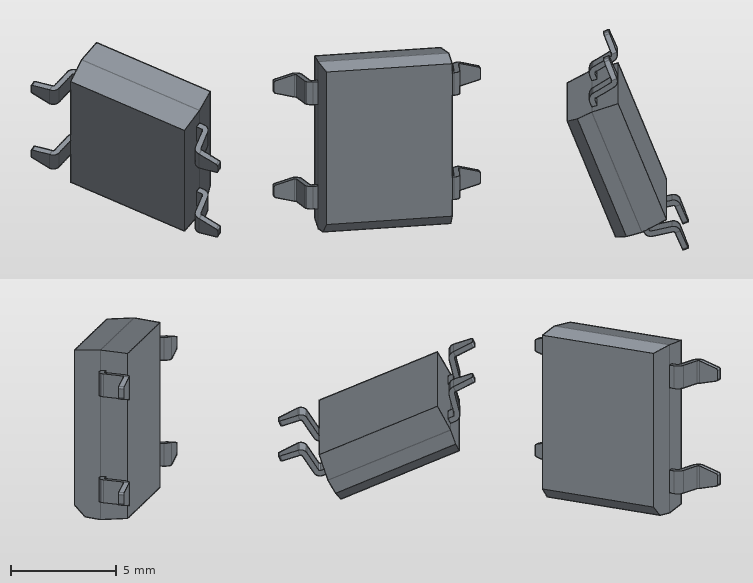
import cadquery as cq
import math


span = 10.05
housing_width = 6.35
housing_height = 8.32
half_depth = 1.31
standoff = 0.32
draft_angle = 5.0
corner_bevel = 0.49

lead_width = 1.13
lead_pitch = 5.2
lead_thickness = 0.27
inner_bend = 0.08
outer_bend = inner_bend + lead_thickness
leg_angle = 9.5
foot_length = 1.0
foot_taper = 15.0
tip_radius = 0.11

foot_bottom = -(half_depth + standoff)
tip_x = -span / 2
foot_bend_x = tip_x + foot_length


def make_housing():
    """Two drafted halves that meet on the parting plane, with one bevelled edge."""
    section = cq.Workplane("XZ").rect(housing_width, housing_height)
    front_half = section.extrude(half_depth, taper=draft_angle)
    back_half = front_half.mirror("XZ")
    body = front_half.union(back_half)

    draft_inset = half_depth * math.tan(math.radians(draft_angle))
    edge_z = -housing_height / 2 + draft_inset
    bevel = (
        cq.Workplane("YZ")
        .moveTo(half_depth, edge_z + corner_bevel)
        .lineTo(half_depth, edge_z - corner_bevel)
        .lineTo(half_depth - 2 * corner_bevel, edge_z - corner_bevel)
        .close()
        .extrude(housing_width / 2, both=True)
    )
    return body.cut(bevel)


def polar(centre, radius, degrees):
    """Point at a given radius and direction from a centre."""
    angle = math.radians(degrees)
    return (centre[0] + radius * math.cos(angle), centre[1] + radius * math.sin(angle))


def make_lead_strip():
    """Bent strip of a left-hand lead, of full width, centred on Z = 0."""
    lean = math.radians(leg_angle)
    foot_centre = (foot_bend_x, foot_bottom + outer_bend)
    bend_sum = inner_bend + outer_bend
    shoulder_y = -outer_bend
    leg_length = (shoulder_y - foot_centre[1] + bend_sum * math.sin(lean)) / math.cos(lean)
    shoulder_x = foot_bend_x + bend_sum * math.cos(lean) + leg_length * math.sin(lean)
    shoulder_centre = (shoulder_x, shoulder_y)

    shoulder_end = 180 - leg_angle
    shoulder_mid = (90 + shoulder_end) / 2
    foot_end = -leg_angle
    foot_mid = (-90 + foot_end) / 2
    root_x = -housing_width / 2 + lead_thickness

    return (
        cq.Workplane("XY")
        .moveTo(root_x, 0)
        .lineTo(*polar(shoulder_centre, outer_bend, 90))
        .threePointArc(
            polar(shoulder_centre, outer_bend, shoulder_mid),
            polar(shoulder_centre, outer_bend, shoulder_end),
        )
        .lineTo(*polar(foot_centre, inner_bend, foot_end))
        .threePointArc(
            polar(foot_centre, inner_bend, foot_mid),
            polar(foot_centre, inner_bend, -90),
        )
        .lineTo(tip_x, foot_bottom + lead_thickness)
        .lineTo(tip_x, foot_bottom)
        .lineTo(foot_bend_x, foot_bottom)
        .threePointArc(
            polar(foot_centre, outer_bend, foot_mid),
            polar(foot_centre, outer_bend, foot_end),
        )
        .lineTo(*polar(shoulder_centre, inner_bend, shoulder_end))
        .threePointArc(
            polar(shoulder_centre, inner_bend, shoulder_mid),
            polar(shoulder_centre, inner_bend, 90),
        )
        .lineTo(root_x, -lead_thickness)
        .close()
        .extrude(lead_width / 2, both=True)
    )


def make_lead_outline():
    """Prism along Y with the tapered, round-cornered outline of a left-hand lead."""
    half_width = lead_width / 2
    half_tip = half_width - foot_length * math.tan(math.radians(foot_taper))
    return (
        cq.Workplane("XZ")
        .moveTo(0, half_width)
        .lineTo(foot_bend_x, half_width)
        .lineTo(tip_x, half_tip)
        .lineTo(tip_x, -half_tip)
        .lineTo(foot_bend_x, -half_width)
        .lineTo(0, -half_width)
        .close()
        .extrude(-foot_bottom)
        .edges("|Y and <X")
        .fillet(tip_radius)
    )


def make_lead(housing):
    """Left-hand lead whose root butts against the sloping housing wall."""
    return make_lead_strip().intersect(make_lead_outline()).cut(housing)


housing = make_housing()

left_lead = make_lead(housing)
right_lead = left_lead.mirror("YZ")
leads = []
for z in (-lead_pitch / 2, lead_pitch / 2):
    for lead in (left_lead, right_lead):
        leads.append(lead.translate((0, 0, z)).val())

result = cq.Compound.makeCompound([housing.val(), *leads])